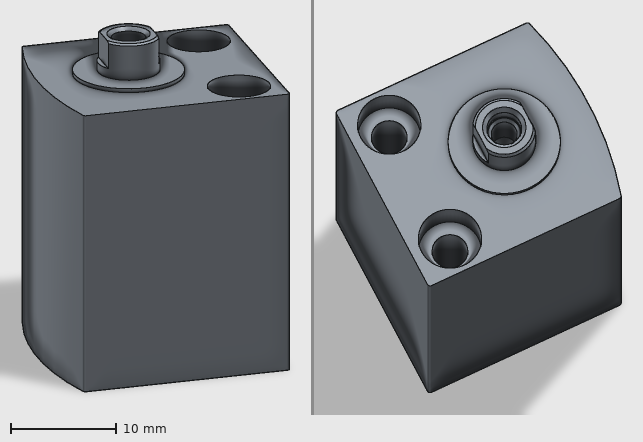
import cadquery as cq
import math

width = 20.0
block_height = 28.0
back_y = 13.0
front_y = -8.95
front_radius = 35.0
corner_radius = 0.3

collar_diameter = 10.7
collar_height = 0.4

mount_x = 6.5
mount_y = 9.0
mount_diameter = 3.4
counterbore_diameter = 6.0
counterbore_depth = 3.3

rod_top = 32.0
rod_diameter = 6.0
rod_chamfer_height = 0.15
rod_chamfer_inset = 0.25
rod_insertion = 8.0
flat_width = 5.0
flat_length = 2.7

mouth_diameter = 4.13
bore_diameter = 3.3
step_diameter = 3.1
core_diameter = 2.45
mouth_depth = 0.35
bore_depth = 1.55
step_depth = 1.8
core_depth = 5.75
drill_tip_angle = 118.0

half_width = width / 2
front_sagitta = front_radius - math.sqrt(front_radius**2 - half_width**2)
front_corner_y = front_y + front_sagitta
collar_top = block_height + collar_height
rod_bottom = block_height - rod_insertion


def make_housing():
    """Block with a bowed front, a collar, two mounting holes and a blind rod bore."""
    block = (
        cq.Workplane("XY")
        .moveTo(-half_width, front_corner_y)
        .threePointArc((0, front_y), (half_width, front_corner_y))
        .lineTo(half_width, back_y)
        .lineTo(-half_width, back_y)
        .close()
        .extrude(block_height)
        .edges("|Z")
        .fillet(corner_radius)
    )
    collar = cq.Workplane("XY").circle(collar_diameter / 2).extrude(collar_top)
    rod_bore = (
        cq.Workplane("XY", origin=(0, 0, rod_bottom))
        .circle(rod_diameter / 2)
        .extrude(collar_top - rod_bottom)
    )
    mounting_holes = (
        cq.Workplane("XY", origin=(0, 0, block_height))
        .pushPoints([(-mount_x, mount_y), (mount_x, mount_y)])
    )
    mount_shafts = mounting_holes.circle(mount_diameter / 2).extrude(-block_height)
    counterbores = mounting_holes.circle(counterbore_diameter / 2).extrude(-counterbore_depth)
    return block.union(collar).cut(rod_bore).cut(mount_shafts).cut(counterbores)


def make_rod_hole():
    """Revolved cutter for the stepped hole with its conical drill tip."""
    core_radius = core_diameter / 2
    tip_length = core_radius / math.tan(math.radians(drill_tip_angle / 2))
    profile = [
        (0, rod_top),
        (mouth_diameter / 2, rod_top),
        (bore_diameter / 2, rod_top - mouth_depth),
        (bore_diameter / 2, rod_top - bore_depth),
        (step_diameter / 2, rod_top - bore_depth),
        (core_radius, rod_top - step_depth),
        (core_radius, rod_top - core_depth),
        (0, rod_top - core_depth - tip_length),
    ]
    return cq.Workplane("XZ").polyline(profile).close().revolve(360, (0, 0, 0), (0, 1, 0))


def make_rod():
    """Round rod with a chamfered end, two wrench flats and a stepped hole."""
    rod = (
        cq.Workplane("XY", origin=(0, 0, rod_bottom))
        .circle(rod_diameter / 2)
        .extrude(rod_top - rod_bottom)
        .faces(">Z")
        .chamfer(rod_chamfer_height, rod_chamfer_inset)
    )
    flat_cutter = (
        cq.Workplane("XY", origin=(0, 0, rod_top - flat_length))
        .rect(2 * rod_diameter, 2 * rod_diameter)
        .rect(2 * rod_diameter, flat_width)
        .extrude(flat_length)
    )
    return rod.cut(flat_cutter).cut(make_rod_hole())


housing = make_housing()
rod = make_rod()
result = cq.Compound.makeCompound([housing.val(), rod.val()])